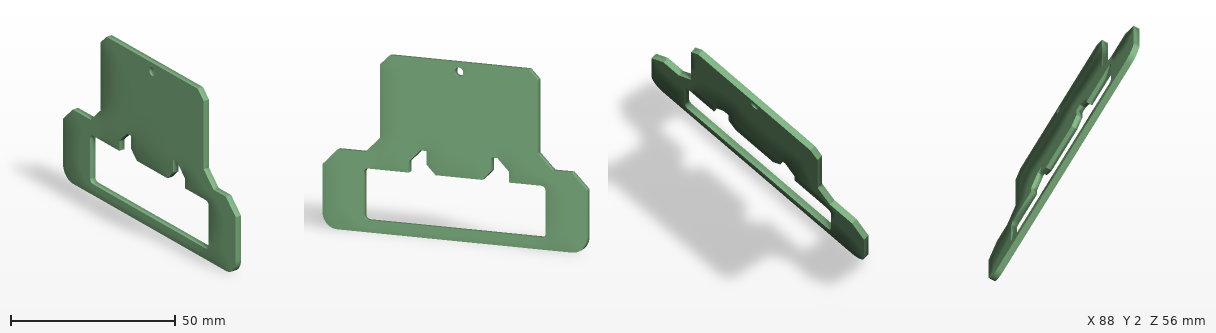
import cadquery as cq

base_width = 88.0
height = 56.0
thickness = 2.0

shoulder_height = 25.0
large_bevel = 5.0
base_corner_radius = 5.0

panel_center = 1.4
panel_width = 52.45
small_bevel = 3.0

window_width = 60.5
window_bottom = 3.7
window_top = 20.0
window_corner_radius = 1.5

tab_width = 21.5
notch_outer_width = 33.4
notch_top = 27.3
notch_bevel = 4.0

hole_diameter = 2.8
hole_drop = 3.0


def front_plane():
    """Sketch plane in XZ, half a thickness behind the plate's middle."""
    return cq.Workplane("XZ", origin=(0, thickness / 2, 0))


def extruded(points):
    return front_plane().polyline(points).close().extrude(thickness)


def make_plate():
    base_right = base_width / 2
    base_left = -base_right
    panel_left = panel_center - panel_width / 2
    panel_right = panel_center + panel_width / 2
    bevel_foot = shoulder_height - large_bevel
    panel_foot = shoulder_height + large_bevel
    outline = [
        (base_left, 0),
        (base_right, 0),
        (base_right, bevel_foot),
        (base_right - large_bevel, shoulder_height),
        (panel_right + large_bevel, shoulder_height),
        (panel_right, panel_foot),
        (panel_right, height - small_bevel),
        (panel_right - small_bevel, height),
        (panel_left + small_bevel, height),
        (panel_left, height - small_bevel),
        (panel_left, panel_foot),
        (panel_left - large_bevel, shoulder_height),
        (base_left + large_bevel, shoulder_height),
        (base_left, bevel_foot),
    ]
    lower_corners = cq.selectors.BoxSelector(
        (-base_width, -thickness, -base_corner_radius),
        (base_width, thickness, base_corner_radius),
    )
    return extruded(outline).edges("|Y").edges(lower_corners).fillet(base_corner_radius)


def make_window():
    window_height = window_top - window_bottom
    return (
        front_plane()
        .center(0, window_bottom + window_height / 2)
        .rect(window_width, window_height)
        .extrude(thickness)
        .edges("|Y")
        .fillet(window_corner_radius)
    )


def make_notch(side):
    """Notch beside the tab; side is -1 for left and 1 for right."""
    tab_edge = tab_width / 2
    outer_edge = notch_outer_width / 2
    outline = [
        (tab_edge - small_bevel, window_top),
        (tab_edge, window_top + small_bevel),
        (tab_edge, notch_top),
        (outer_edge - notch_bevel, notch_top),
        (outer_edge, notch_top - notch_bevel),
        (outer_edge, window_top),
    ]
    return extruded([(panel_center + side * x, z) for x, z in outline])


def make_hole():
    return (
        front_plane()
        .center(panel_center, height - hole_drop)
        .circle(hole_diameter / 2)
        .extrude(thickness)
    )


result = make_plate().cut(make_window()).cut(make_hole())
for side in (-1, 1):
    result = result.cut(make_notch(side))